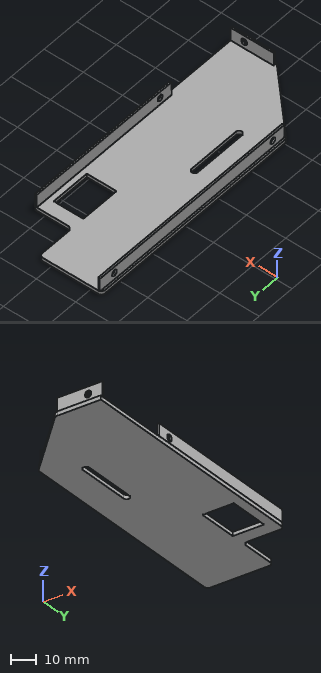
import cadquery as cq

width = 52.0
length = 142.0
plate_thickness = 2.0
corner_radius = 2.0
notch_x = 32.1
notch_depth = 20.0
bevel = 30.0
shoulder_y = length - notch_depth

window_width = 15.0
window_length = 20.0
window_back_margin = 7.0
slot_width = 3.0
slot_length = 30.0
slot_x = 16.0
slot_front_y = 38.0

wall_thickness = 1.0
wall_inset = 1.0
wall_height = 7.0
right_wall_front_y = 40.0

hole_diameter = 3.0
hole_end_distance = 7.0
back_hole_distance = 8.8
hole_z = plate_thickness + wall_height / 2


def make_plate():
    """Flat plate with a bevelled front corner and a notched back corner."""
    outline = [
        (bevel, 0),
        (width, 0),
        (width, shoulder_y),
        (notch_x, shoulder_y),
        (notch_x, length),
        (0, length),
        (0, bevel),
    ]
    plate = cq.Workplane("XY").polyline(outline).close().extrude(plate_thickness)
    rounded_edges = plate.edges("|Z").edges("not (>X and <Y)")
    return rounded_edges.fillet(corner_radius)


def make_window():
    """Rectangular cutter, level with the notch on its left side."""
    front_y = shoulder_y - window_back_margin - window_length
    return (
        cq.Workplane("XY")
        .box(window_width, window_length, plate_thickness, centered=False)
        .translate((notch_x, front_y, 0))
    )


def make_slot():
    """Round-ended cutter running along Y."""
    return (
        cq.Workplane("XY")
        .center(slot_x, slot_front_y + slot_length / 2)
        .slot2D(slot_length, slot_width, 90)
        .extrude(plate_thickness)
    )


def make_wall(x, y, size_x, size_y):
    """Upright wall standing on the plate, placed by its front left corner."""
    return (
        cq.Workplane("XY")
        .box(size_x, size_y, wall_height, centered=False)
        .translate((x, y, plate_thickness))
    )


def make_hole(x, y, direction):
    """Screw-hole cutter starting at the lower-coordinate face of a wall."""
    start = cq.Vector(x, y, hole_z)
    return cq.Solid.makeCylinder(hole_diameter / 2, wall_thickness, start, cq.Vector(*direction))


right_wall_x = width - wall_inset - wall_thickness
along_x = (1, 0, 0)
along_y = (0, 1, 0)

left_wall = make_wall(wall_inset, bevel, wall_thickness, length - bevel)
right_wall = make_wall(right_wall_x, right_wall_front_y, wall_thickness, shoulder_y - right_wall_front_y)
front_wall = make_wall(bevel, wall_inset, width - bevel, wall_thickness)

holes = [
    make_hole(wall_inset, bevel + hole_end_distance, along_x),
    make_hole(wall_inset, length - back_hole_distance, along_x),
    make_hole(right_wall_x, right_wall_front_y + hole_end_distance, along_x),
    make_hole(width - hole_end_distance, wall_inset, along_y),
]

result = make_plate().cut(make_window()).cut(make_slot())
for wall in (left_wall, right_wall, front_wall):
    result = result.union(wall)
for hole in holes:
    result = result.cut(hole)